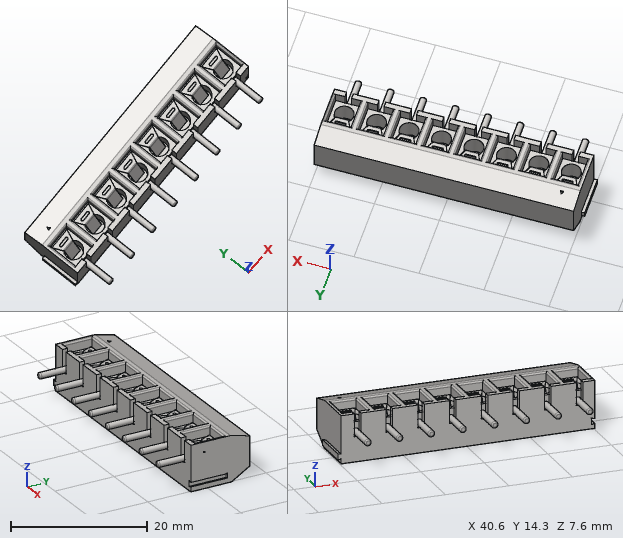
import cadquery as cq


ways = 8
pitch = 5.0
housing_length = 39.95
housing_depth = 10.0
housing_height = 7.6
top_slope_run = 3.3
top_slope_drop = 0.8
bottom_slope_run = 3.1
bottom_slope_rise = 1.85

dovetail_projection = 0.53
dovetail_length = 6.25
dovetail_z = 1.18
dovetail_tip_height = 0.97
dovetail_root_height = 0.75

nub_projection = 0.12
nub_diameter = 0.15
nub_y = 2.25
nub_z = 6.0

first_way_x = 2.6
well_width = 3.9
well_front_y = 0.85
well_back_y = 5.75
well_depth = 1.6
well_rim_radius = 0.25
floor_z = housing_height - well_depth

hole_diameter = 2.92
hole_y = 2.85
hole_depth = 3.05

leaf_thickness = 0.25
leaf_back_width = 3.75
leaf_bend_width = 2.05
leaf_bend_y = 3.8
leaf_bend_radius = 0.2
leaf_tip_y = 2.4
leaf_tip_drop = 2.65
leaf_back_bevel_run = 0.25
leaf_back_bevel_drop = 0.2
leaf_slot_length = 1.7
leaf_slot_width = 0.4
leaf_slot_y = 4.7
leaf_top_z = floor_z + leaf_thickness

pin_diameter = 1.0
pin_projection = 4.3
pin_tip_radius = 0.2
pin_z = 4.5
pin_embedment = 0.4
pin_root_y = well_front_y + pin_embedment

mark_size = 0.45
mark_y = 7.45
mark_depth = 0.15


def make_housing():
    back_top_z = housing_height - top_slope_drop
    outline = [
        (0, 0),
        (housing_depth - bottom_slope_run, 0),
        (housing_depth, bottom_slope_rise),
        (housing_depth, back_top_z),
        (housing_depth - top_slope_run, housing_height),
        (0, housing_height),
    ]
    return cq.Workplane("YZ").polyline(outline).close().extrude(housing_length)


def make_dovetail(root_x):
    """Dovetail bar that widens from root_x toward -X and is flush with the pin face."""
    tip_x = root_x - dovetail_projection
    outline = [
        (root_x, dovetail_z - dovetail_root_height / 2),
        (tip_x, dovetail_z - dovetail_tip_height / 2),
        (tip_x, dovetail_z + dovetail_tip_height / 2),
        (root_x, dovetail_z + dovetail_root_height / 2),
    ]
    return cq.Workplane("XZ").polyline(outline).close().extrude(-dovetail_length)


def make_nub():
    face = cq.Workplane("YZ", origin=(housing_length, nub_y, nub_z))
    return face.circle(nub_diameter / 2).extrude(nub_projection)


def make_well(x):
    """Space of one well: shaft with three rounded rims, pin slot and hole."""
    rim_z = housing_height - well_rim_radius
    half_width = well_width / 2
    side_flare = (
        cq.Workplane("XZ", origin=(x, well_front_y, 0))
        .moveTo(-half_width, floor_z)
        .lineTo(half_width, floor_z)
        .lineTo(half_width, rim_z)
        .radiusArc((half_width + well_rim_radius, housing_height), well_rim_radius)
        .lineTo(-half_width - well_rim_radius, housing_height)
        .radiusArc((-half_width, rim_z), well_rim_radius)
        .close()
        .extrude(well_front_y - well_back_y - well_rim_radius)
    )
    back_flare = (
        cq.Workplane("YZ", origin=(x, 0, 0))
        .moveTo(well_front_y, floor_z)
        .lineTo(well_back_y, floor_z)
        .lineTo(well_back_y, rim_z)
        .radiusArc((well_back_y + well_rim_radius, housing_height), well_rim_radius)
        .lineTo(well_front_y, housing_height)
        .close()
        .extrude(well_width, both=True)
    )
    shaft = side_flare.intersect(back_flare)

    slot_bottom_z = pin_z - pin_diameter / 2
    slot = cq.Workplane("XY").box(
        pin_diameter, well_front_y, housing_height - slot_bottom_z, centered=(True, False, False)
    ).translate((x, 0, slot_bottom_z))

    hole = cq.Workplane("XY", origin=(x, hole_y, floor_z)).circle(hole_diameter / 2).extrude(-hole_depth)
    return shaft.union(slot).union(hole)


def make_leaf(x):
    """Tapered plate on the well floor with a narrow arm bent down into the hole."""
    plate_outline = [
        (-leaf_back_width / 2, well_back_y),
        (leaf_back_width / 2, well_back_y),
        (leaf_bend_width / 2, leaf_bend_y),
        (-leaf_bend_width / 2, leaf_bend_y),
    ]
    plate = cq.Workplane("XY", origin=(x, 0, floor_z)).polyline(plate_outline).close().extrude(leaf_thickness)
    plate = plate.faces(">Y").edges(">Z").chamfer(leaf_back_bevel_drop, leaf_back_bevel_run)
    slot = (
        cq.Workplane("XY", origin=(x, leaf_slot_y, floor_z))
        .slot2D(leaf_slot_length, leaf_slot_width)
        .extrude(leaf_thickness)
    )

    arm_outline = [
        (leaf_bend_y, leaf_top_z),
        (leaf_tip_y, leaf_top_z - leaf_tip_drop),
        (leaf_tip_y + leaf_thickness, leaf_top_z - leaf_tip_drop),
        (leaf_bend_y + leaf_thickness, leaf_top_z),
    ]
    arm_plane = cq.Workplane("YZ", origin=(x, 0, 0))
    arm = arm_plane.polyline(arm_outline).close().extrude(leaf_bend_width / 2, both=True)
    leaf = plate.union(arm).clean()
    bend_edge = cq.selectors.NearestToPointSelector((x, leaf_bend_y, leaf_top_z))
    return leaf.edges(bend_edge).fillet(leaf_bend_radius).cut(slot)


def make_pin(x):
    root = cq.Workplane("XZ", origin=(x, pin_root_y, pin_z))
    pin = root.circle(pin_diameter / 2).extrude(pin_root_y + pin_projection)
    return pin.faces("<Y").edges().fillet(pin_tip_radius)


def make_first_way_mark():
    """Upright triangle cut into the sloping top, mark_depth deep at its base."""
    slope_start_y = housing_depth - top_slope_run
    slope_z = housing_height - (mark_y - slope_start_y) * top_slope_drop / top_slope_run
    outline = [(-mark_size / 2, 0), (mark_size / 2, 0), (0, mark_size)]
    plane = cq.Workplane("XY", origin=(first_way_x, mark_y, slope_z - mark_depth))
    return plane.polyline(outline).close().extrude(mark_depth)


result = make_housing()
result = result.union(make_dovetail(0)).union(make_nub())
result = result.cut(make_dovetail(housing_length))
for way in range(ways):
    way_x = first_way_x + way * pitch
    result = result.cut(make_well(way_x))
    result = result.union(make_leaf(way_x)).union(make_pin(way_x))
result = result.cut(make_first_way_mark())